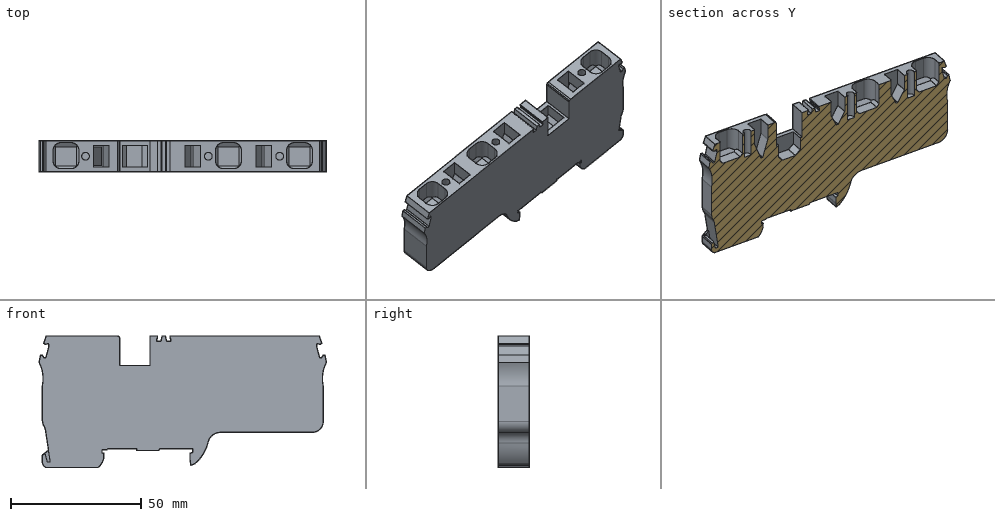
import cadquery as cq

WIDTH = 12.0
HEIGHT = 50.5
HALF_LENGTH = 55.2
SIDE_X = 54.0
WING_BOTTOM = 13.5
WING_RADIUS = 4.3

RAIL_Z = 7.2
RAIL_PAD_Z = 6.5
RAIL_PAD_LEFT = -17.7
RAIL_PAD_RIGHT = -9.3
RAIL_SEAT_RIGHT = 3.8
FOOT_EDGE = -30.2
FOOT_NOTCH = -30.9
HOOK_EDGE = 2.8
HOOK_TIP = (3.1, 0.8)

RECESS_LEFT = -24.2
RECESS_RIGHT = -12.6
RECESS_FLOOR = 39.2

GROOVE_FLOOR = 48.5
GROOVE_CENTER = -7.3
RIB_HALF_TOP = 0.7
RIB_HALF_BASE = 1.1
GROOVE_MOUTH = 2.3
GROOVE_UNDERCUT = 2.6
UNDERCUT_TOP = 49.3
UNDERCUT_END = 49.9

SLOT_FLOOR = 2.2
SLOT_RIGHT = -50.9
SLOT_LEFT = -52.0
SLOT_LIP = (-52.9, 5.4)
WEB_TOP = (-51.5, 6.7)
WEB_FOOT = (-53.3, 5.3)
WEB_THICKNESS = 1.0

WIRE_ENTRY_X = (-44.8, 17.5, 44.8)
WIRE_SIZE = 10.0
WIRE_Y = 0.2
WIRE_RADIUS = 3.2
WIRE_SHAFT_DEPTH = 8.8
WIRE_TAPER_DEPTH = 1.3
WIRE_FLOOR_LENGTH = 7.9
WIRE_FLOOR_WIDTH = 7.3
WIRE_FLOOR_Y = -0.1

PROBE_X = (-37.3, 9.8, 37.2)
PROBE_DIAMETER = 3.0
PROBE_DEPTH = 11.0

POCKET_WIDTH = 8.4
RELEASE_LENGTH = 6.0
RELEASE_SHAFT_DEPTH = 6.6
SHORT_RUN = 2.3
LONG_RUN = 3.0
OUTER_RELEASE_X = -34.2
OUTER_RELEASE_TAPER = 7.5
OUTER_RAMP_WIDTH = 7.1
INNER_RELEASE_X = (0.9, 28.1)
INNER_RELEASE_TAPER = 4.9

BRIDGE_X = -23.2
BRIDGE_LENGTH = 9.7
BRIDGE_SHAFT_DEPTH = 5.5
BRIDGE_TAPER = 1.9
BRIDGE_LEFT_RUN = 1.7
BRIDGE_RIGHT_RUN = 2.2

SNAP_EDGE = (
    (52.4, HEIGHT),
    (53.4, 47.7),
    (52.7, 47.2),
    (51.5, 47.6),
    (51.4, 46.6),
    (52.5, 42.3),
    (53.2, 42.1),
    (53.8, 43.1),
    (54.6, 43.1),
    (HALF_LENGTH, 40.4),
)
SCOOP_MIDDLE = (53.7, 35.9)
SCOOP_END = (SIDE_X, 31.2)


def mirrored(point):
    return (-point[0], point[1])


def extrude_outline(outline, width):
    """Extrude a closed XZ outline symmetrically about Y = 0."""
    return outline.close().extrude(width / 2, both=True)


def housing():
    outline = cq.Workplane("XZ").moveTo(*mirrored(SNAP_EDGE[0]))
    for point in SNAP_EDGE[1:]:
        outline = outline.lineTo(*mirrored(point))
    outline = (
        outline.threePointArc(mirrored(SCOOP_MIDDLE), mirrored(SCOOP_END))
        .lineTo(-SIDE_X, 18.2)
        .lineTo(-53.6, 16.5)
        .lineTo(-53.0, 15.2)
        .lineTo(-52.7, 14.6)
        .lineTo(SLOT_RIGHT, SLOT_FLOOR)
        .lineTo(SLOT_LEFT, SLOT_FLOOR)
        .lineTo(*SLOT_LIP)
        .lineTo(-53.6, 5.1)
        .lineTo(-SIDE_X, 4.6)
        .lineTo(-SIDE_X, SLOT_FLOOR)
        .threePointArc((-53.5, 0.9), (-52.5, 0))
        .lineTo(-32.4, 0)
        .threePointArc((-31.1, 1.5), (FOOT_EDGE, 3.6))
        .lineTo(FOOT_EDGE, 5.5)
        .lineTo(FOOT_NOTCH, 5.6)
        .lineTo(FOOT_NOTCH, 6.8)
        .lineTo(-29.1, 6.8)
        .lineTo(-28.8, RAIL_Z)
    )
    outline = (
        outline.lineTo(RAIL_PAD_LEFT, RAIL_Z)
        .lineTo(RAIL_PAD_LEFT, RAIL_PAD_Z)
        .lineTo(RAIL_PAD_RIGHT, RAIL_PAD_Z)
        .lineTo(RAIL_PAD_RIGHT + 0.4, RAIL_Z)
        .lineTo(RAIL_SEAT_RIGHT, RAIL_Z)
        .lineTo(RAIL_SEAT_RIGHT, 5.8)
        .lineTo(HOOK_EDGE, 5.5)
        .lineTo(HOOK_EDGE, 2.9)
        .lineTo(*HOOK_TIP)
        .lineTo(4.6, 1.4)
        .threePointArc((7.9, 5.3), (9.7, 9.5))
        .threePointArc((11.1, 12.1), (14.2, WING_BOTTOM))
    )
    outline = (
        outline.lineTo(SIDE_X - WING_RADIUS, WING_BOTTOM)
        .radiusArc((SIDE_X, WING_BOTTOM + WING_RADIUS), -WING_RADIUS)
        .lineTo(*SCOOP_END)
        .threePointArc(SCOOP_MIDDLE, SNAP_EDGE[-1])
    )
    for point in reversed(SNAP_EDGE[:-1]):
        outline = outline.lineTo(*point)
    outline = (
        outline.lineTo(GROOVE_CENTER + GROOVE_MOUTH, HEIGHT)
        .lineTo(GROOVE_CENTER + GROOVE_MOUTH, UNDERCUT_END)
        .lineTo(GROOVE_CENTER + GROOVE_UNDERCUT, UNDERCUT_TOP)
        .lineTo(GROOVE_CENTER + GROOVE_UNDERCUT, GROOVE_FLOOR)
        .lineTo(GROOVE_CENTER + RIB_HALF_BASE, GROOVE_FLOOR)
        .lineTo(GROOVE_CENTER + RIB_HALF_TOP, HEIGHT)
        .lineTo(GROOVE_CENTER - RIB_HALF_TOP, HEIGHT)
        .lineTo(GROOVE_CENTER - RIB_HALF_BASE, GROOVE_FLOOR)
        .lineTo(GROOVE_CENTER - GROOVE_UNDERCUT, GROOVE_FLOOR)
        .lineTo(GROOVE_CENTER - GROOVE_UNDERCUT, UNDERCUT_TOP)
        .lineTo(GROOVE_CENTER - GROOVE_MOUTH, UNDERCUT_END)
        .lineTo(GROOVE_CENTER - GROOVE_MOUTH, HEIGHT)
        .lineTo(RECESS_RIGHT, HEIGHT)
        .lineTo(RECESS_RIGHT, RECESS_FLOOR)
        .lineTo(RECESS_LEFT, RECESS_FLOOR)
        .lineTo(RECESS_LEFT, 49.7)
        .lineTo(RECESS_LEFT - 0.2, 50.3)
        .lineTo(RECESS_LEFT - 0.9, HEIGHT)
    )
    return extrude_outline(outline, WIDTH)


def slot_web():
    """Thin gusset that closes the spring slot at the +Y side."""
    return (
        cq.Workplane("XZ", origin=(0, WIDTH / 2, 0))
        .moveTo(*WEB_TOP)
        .lineTo(SLOT_RIGHT, SLOT_FLOOR)
        .lineTo(SLOT_LEFT, SLOT_FLOOR)
        .lineTo(*SLOT_LIP)
        .lineTo(*WEB_FOOT)
        .close()
        .extrude(WEB_THICKNESS)
    )


def wire_entry(x):
    shaft_bottom = HEIGHT - WIRE_SHAFT_DEPTH
    shaft = (
        cq.Workplane("XY", origin=(x, WIRE_Y, shaft_bottom - WIRE_TAPER_DEPTH))
        .rect(WIRE_SIZE, WIRE_SIZE)
        .extrude(WIRE_SHAFT_DEPTH + WIRE_TAPER_DEPTH)
        .edges("|Z")
        .fillet(WIRE_RADIUS)
    )
    taper = (
        cq.Workplane("XY", origin=(x, WIRE_Y, shaft_bottom))
        .rect(WIRE_SIZE, WIRE_SIZE)
        .workplane(offset=-WIRE_TAPER_DEPTH)
        .center(0, WIRE_FLOOR_Y - WIRE_Y)
        .rect(WIRE_FLOOR_LENGTH, WIRE_FLOOR_WIDTH)
        .loft(ruled=True)
    )
    straight = (
        cq.Workplane("XY", origin=(x, WIRE_Y, shaft_bottom))
        .rect(WIRE_SIZE, WIRE_SIZE)
        .extrude(WIRE_SHAFT_DEPTH)
    )
    return shaft.intersect(taper.union(straight))


def probe_hole(x):
    return (
        cq.Workplane("XY", origin=(x, 0, HEIGHT - PROBE_DEPTH))
        .circle(PROBE_DIAMETER / 2)
        .extrude(PROBE_DEPTH)
    )


def tapered_pocket(left, length, top, shaft_depth, taper_depth, left_run, right_run):
    """Straight shaft ending in a -X and a +X wall that lean in to the floor."""
    right = left + length
    shaft_bottom = top - shaft_depth
    floor = shaft_bottom - taper_depth
    outline = (
        cq.Workplane("XZ")
        .moveTo(left, top)
        .lineTo(left, shaft_bottom)
        .lineTo(left + left_run, floor)
        .lineTo(right - right_run, floor)
        .lineTo(right, shaft_bottom)
        .lineTo(right, top)
    )
    return extrude_outline(outline, POCKET_WIDTH)


def release_pocket(left, taper_depth, left_run, right_run):
    return tapered_pocket(
        left, RELEASE_LENGTH, HEIGHT, RELEASE_SHAFT_DEPTH, taper_depth, left_run, right_run
    )


def outer_release_ramp():
    """Ramp standing on the floor of the outer release pocket, against its -X wall."""
    shaft_bottom = HEIGHT - RELEASE_SHAFT_DEPTH
    floor = shaft_bottom - OUTER_RELEASE_TAPER
    outline = (
        cq.Workplane("XZ")
        .moveTo(OUTER_RELEASE_X, shaft_bottom)
        .lineTo(OUTER_RELEASE_X, floor)
        .lineTo(OUTER_RELEASE_X + LONG_RUN, floor)
    )
    return extrude_outline(outline, OUTER_RAMP_WIDTH)


def bridge_pocket():
    return tapered_pocket(
        BRIDGE_X,
        BRIDGE_LENGTH,
        RECESS_FLOOR,
        BRIDGE_SHAFT_DEPTH,
        BRIDGE_TAPER,
        BRIDGE_LEFT_RUN,
        BRIDGE_RIGHT_RUN,
    )


result = housing().union(slot_web())
for entry_x in WIRE_ENTRY_X:
    result = result.cut(wire_entry(entry_x))
for hole_x in PROBE_X:
    result = result.cut(probe_hole(hole_x))
result = result.cut(release_pocket(OUTER_RELEASE_X, OUTER_RELEASE_TAPER, 0, SHORT_RUN))
result = result.union(outer_release_ramp())
for pocket_x in INNER_RELEASE_X:
    result = result.cut(release_pocket(pocket_x, INNER_RELEASE_TAPER, SHORT_RUN, LONG_RUN))
result = result.cut(bridge_pocket())